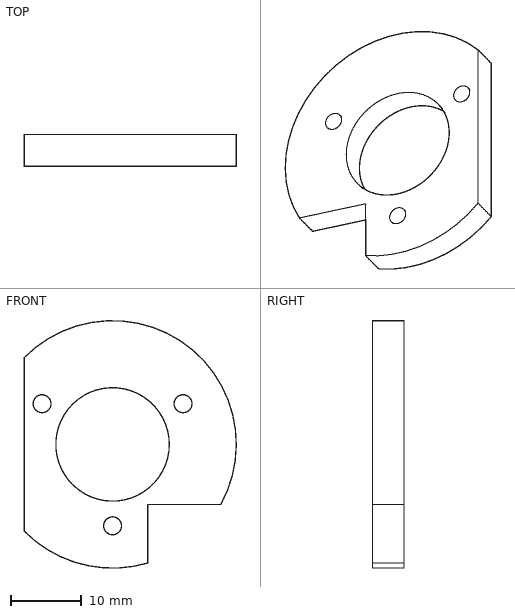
import cadquery as cq

disc_radius = 17.5
thickness = 4.5
flat_x = -12.5

notch_x = 5.0
notch_z = -8.5

bore_diameter = 16.0
bolt_hole_diameter = 2.5
bolt_circle_radius = 11.5
bolt_count = 3
first_bolt_angle = -90.0


def plate_body():
    """Round plate with its front and back faces normal to Y."""
    disc = cq.Workplane("XZ").circle(disc_radius).extrude(thickness / 2, both=True)
    keep_width = disc_radius - flat_x
    keep_box = (
        cq.Workplane("XY")
        .box(keep_width, thickness, 2 * disc_radius, centered=(False, True, True))
        .translate((flat_x, 0, 0))
    )
    return disc.intersect(keep_box)


def corner_notch():
    """Block that removes the lower +X corner of the plate."""
    width = disc_radius - notch_x
    height = disc_radius + notch_z
    return (
        cq.Workplane("XY")
        .box(width, thickness, height, centered=(False, True, False))
        .translate((notch_x, 0, -disc_radius))
    )


def through_holes():
    """Central bore and the evenly spaced bolt holes around it."""
    bore = cq.Workplane("XZ").circle(bore_diameter / 2).extrude(thickness / 2, both=True)
    bolt_holes = (
        cq.Workplane("XZ")
        .polarArray(bolt_circle_radius, first_bolt_angle, 360, bolt_count)
        .circle(bolt_hole_diameter / 2)
        .extrude(thickness / 2, both=True)
    )
    return bore.union(bolt_holes)


result = plate_body().cut(corner_notch()).cut(through_holes())